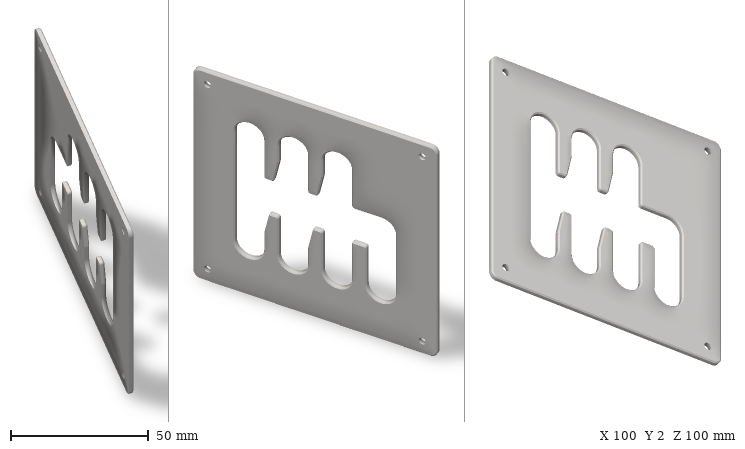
import cadquery as cq
import math

plate_size = 100.0
plate_thickness = 2.0
plate_corner_radius = 3.0

hole_diameter = 3.0
hole_inset = 6.0
hole_spacing = plate_size - 2 * hole_inset

slot_width = 12.0
slot_pitch = 18.0
slot_count = 4
gate_height = 64.0
channel_height = 16.0
slot_radius = slot_width / 2
gate_top = gate_height / 2
channel_top = channel_height / 2
slot_centers = [(i - (slot_count - 1) / 2) * slot_pitch for i in range(slot_count)]
first_slot = slot_centers[0]
last_slot = slot_centers[-1]

back_chamfer = 0.5

finger_tip_radius = 1.0
taper_length = 10.0
taper_angle = 12.0
taper_width = taper_length * math.tan(math.radians(taper_angle))


def through_plate(sketch):
    """Extrude a profile in the XZ plane through the whole plate thickness."""
    return sketch.extrude(plate_thickness / 2, both=True)


def make_blank():
    """Square plate with rounded corners."""
    blank = through_plate(cq.Workplane("XZ").rect(plate_size, plate_size))
    return blank.edges("|Y").fillet(plate_corner_radius)


def make_mounting_holes():
    """Four pins to cut away as mounting holes."""
    return through_plate(
        cq.Workplane("XZ")
        .rect(hole_spacing, hole_spacing, forConstruction=True)
        .vertices()
        .circle(hole_diameter / 2)
    )


def make_slot(center, top):
    """Upright slot with full-round ends, from the bottom of the gate to the given top."""
    length = top + gate_top
    return through_plate(
        cq.Workplane("XZ").center(center, top - length / 2).slot2D(length, slot_width, 90)
    )


def make_taper(center, side):
    """Wedge that widens a slot towards the channel.

    side = 1 widens an upper slot to its right, side = -1 a lower slot to its left.
    """
    wall = center + side * slot_radius
    tip = side * channel_top
    return through_plate(
        cq.Workplane("XZ")
        .moveTo(wall, tip)
        .lineTo(wall + side * taper_width, tip)
        .lineTo(wall, tip + side * taper_length)
        .close()
    )


def make_gate():
    """Complete gate opening, with sharp finger tips."""
    gate = through_plate(cq.Workplane("XZ").rect(last_slot - first_slot, channel_height))
    gate = gate.union(make_slot(first_slot, channel_top))
    for center in slot_centers[1:]:
        gate = gate.union(make_slot(center, gate_top))
    for center in slot_centers[1:3]:
        gate = gate.union(make_taper(center, 1))
    for center in slot_centers[2:]:
        gate = gate.union(make_taper(center, -1))
    return gate


def round_finger_tips(plate):
    """Round the finger corners, which all lie on the channel edges between the outer slots."""
    reach = last_slot - slot_radius / 2
    margin = finger_tip_radius / 2
    for level in (-channel_top, channel_top):
        corners = cq.selectors.BoxSelector(
            (-reach, -plate_thickness, level - margin),
            (reach, plate_thickness, level + margin),
        )
        plate = plate.edges("|Y").edges(corners).fillet(finger_tip_radius)
    return plate


plate = round_finger_tips(make_blank().cut(make_gate()))
plate = plate.faces(">Y").edges().chamfer(back_chamfer)
result = plate.cut(make_mounting_holes())